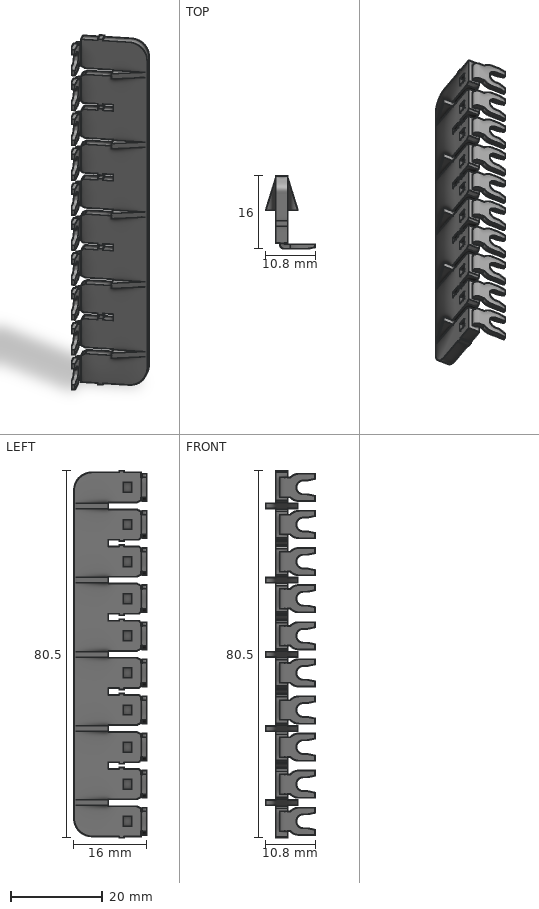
import cadquery as cq
import math

tooth_count = 10
pitch = 8.1
total_height = 80.45
total_depth = 16.0
nub_height = 0.3
carrier_height = total_height - 2 * nub_height
carrier_thickness = 2.65
carrier_front_y = 1.3
corner_radius = 4.0

tooth_height = carrier_height - (tooth_count - 1) * pitch
slot_height = pitch - tooth_height
slot_end_y = 8.45
tooth_chamfer_z = 0.5
ribbed_chamfer_y = 1.0
plain_chamfer_y = 0.5

nub_width = 1.1
nub_center_y = 5.55

rib_thickness = 1.2
rib_half_width = 3.5
rib_tip_y = 15.5

window_depth = 0.9
window_floor_slope = 3.0
window_width = 1.9
window_height = 2.2
window_center_y = 4.3

sheet_thickness = 1.05
bend_radius = 1.005
stem_left_x = -0.44
stem_end_y = 2.8
neck_half_height = 2.2
neck_end_x = 1.85
shoulder_x = 3.8
fork_half_height = 3.02
fork_tip_x = 7.3
mouth_radius = 1.49
mouth_bottom_x = 3.2
mouth_tip_half_height = 1.85
flare_start_x = 5.6
tip_thinning = 0.3

tooth_centers = [(i - (tooth_count - 1) / 2) * pitch for i in range(tooth_count)]
slot_centers = [z + pitch / 2 for z in tooth_centers[:-1]]


def slab(size_x, size_y, size_z, center):
    return cq.Workplane("XY").box(size_x, size_y, size_z).translate(center)


def make_blank():
    depth = total_depth - carrier_front_y
    center = (0, carrier_front_y + depth / 2, 0)
    blank = slab(carrier_thickness, depth, carrier_height, center)
    return blank.edges("|X and >Y").fillet(corner_radius)


def make_slot(z, chamfer_y):
    """Open slot with a flared mouth, which chamfers the two adjacent teeth."""
    half = slot_height / 2
    flared_half = half + tooth_chamfer_z
    outline = [
        (slot_end_y, z - half),
        (carrier_front_y + chamfer_y, z - half),
        (carrier_front_y, z - flared_half),
        (carrier_front_y, z + flared_half),
        (carrier_front_y + chamfer_y, z + half),
        (slot_end_y, z + half),
    ]
    return cq.Workplane("YZ").polyline(outline).close().extrude(carrier_thickness, both=True)


def make_nub(z):
    """Bar standing proud of the tooth flank at height z on both sides of it."""
    return slab(carrier_thickness, nub_width, 2 * nub_height, (0, nub_center_y, z))


def make_rib(z):
    """Wedge widening from the spine towards the slot end on both faces."""
    tip_half_width = carrier_thickness / 2
    outline = [
        (-rib_half_width, slot_end_y),
        (rib_half_width, slot_end_y),
        (tip_half_width, rib_tip_y),
        (-tip_half_width, rib_tip_y),
    ]
    wedge = cq.Workplane("XY").polyline(outline).close().extrude(rib_thickness)
    return wedge.translate((0, 0, z - rib_thickness / 2))


def make_window(z):
    face_x = -carrier_thickness / 2
    near_y = window_center_y - window_width / 2
    far_y = window_center_y + window_width / 2
    near_depth = window_depth + window_width * math.tan(math.radians(window_floor_slope))
    outline = [
        (face_x, near_y),
        (face_x + near_depth, near_y),
        (face_x + window_depth, far_y),
        (face_x, far_y),
    ]
    pocket = cq.Workplane("XY").polyline(outline).close().extrude(window_height)
    return pocket.translate((0, 0, z - window_height / 2))


def make_fork_outline():
    """Fork outline in XZ, extruded along Y over the full depth of the terminal."""
    mouth_center_x = mouth_bottom_x + mouth_radius
    rise = fork_half_height - neck_half_height
    run = shoulder_x - neck_end_x
    shoulder_radius = (run ** 2 + rise ** 2) / (2 * rise)
    half_angle = math.atan2(rise, run)
    mid_x = shoulder_x - shoulder_radius * math.sin(half_angle)
    mid_z = fork_half_height - shoulder_radius * (1 - math.cos(half_angle))
    profile = (
        cq.Workplane("XZ")
        .moveTo(stem_left_x, -neck_half_height)
        .lineTo(neck_end_x, -neck_half_height)
        .threePointArc((mid_x, -mid_z), (shoulder_x, -fork_half_height))
        .lineTo(fork_tip_x, -fork_half_height)
        .lineTo(fork_tip_x, -mouth_tip_half_height)
        .lineTo(flare_start_x, -mouth_radius)
        .lineTo(mouth_center_x, -mouth_radius)
        .threePointArc((mouth_bottom_x, 0), (mouth_center_x, mouth_radius))
        .lineTo(flare_start_x, mouth_radius)
        .lineTo(fork_tip_x, mouth_tip_half_height)
        .lineTo(fork_tip_x, fork_half_height)
        .lineTo(shoulder_x, fork_half_height)
        .threePointArc((mid_x, mid_z), (neck_end_x, neck_half_height))
        .lineTo(stem_left_x, neck_half_height)
        .close()
    )
    return profile.extrude(-stem_end_y)


def make_terminal():
    """L-shaped sheet with a rounded bend and thinned tips, cut to the fork outline."""
    stem_right_x = stem_left_x + sheet_thickness
    sheet = (
        cq.Workplane("XY")
        .moveTo(stem_left_x, stem_end_y)
        .lineTo(stem_left_x, bend_radius)
        .radiusArc((stem_left_x + bend_radius, 0), -bend_radius)
        .lineTo(flare_start_x, 0)
        .lineTo(fork_tip_x, tip_thinning)
        .lineTo(fork_tip_x, sheet_thickness)
        .lineTo(stem_right_x, sheet_thickness)
        .lineTo(stem_right_x, stem_end_y)
        .close()
        .extrude(fork_half_height, both=True)
    )
    return sheet.intersect(make_fork_outline())


carrier = make_blank()

for index, z in enumerate(slot_centers):
    ribbed = index % 2 == 0
    carrier = carrier.cut(make_slot(z, ribbed_chamfer_y if ribbed else plain_chamfer_y))
    if ribbed:
        carrier = carrier.union(make_rib(z))

for index, z in enumerate(tooth_centers):
    outward = -1 if index % 2 == 0 else 1
    carrier = carrier.union(make_nub(z + outward * tooth_height / 2))
    carrier = carrier.cut(make_window(z))

terminal = make_terminal()
result = carrier
for z in tooth_centers:
    result = result.union(terminal.translate((0, 0, z)))